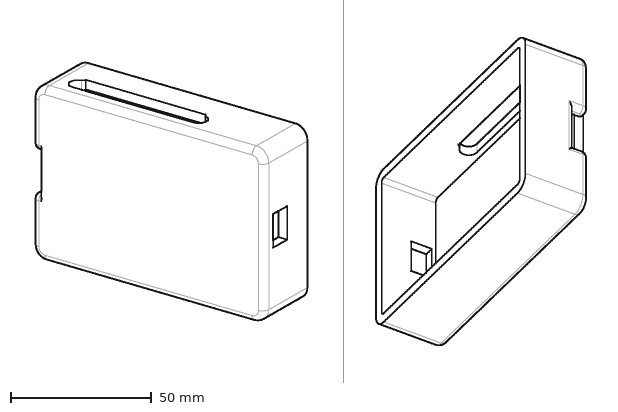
import cadquery as cq
import math

length = 101.2
depth = 26.5
height = 67.8
wall = 3.8
corner_radius = 5.4
front_edge_radius = 2.6
left = -length / 2

notch_clear_height = 17.1
notch_round = 2.2
notch_back = 6.2

side_opening_front = 5.5
side_opening_back = 14.1
side_opening_height = 13.1
side_opening_z = 1.0

slot_center_x = -11.1
slot_half_length = 29.8
slot_back_half_length = 26.2
slot_front = 6.2
slot_back = 14.1
slot_end_radius = 3.3

pin_diameter = 2.3
pin_tip_y = 10.4
pin_tip_taper_length = 0.6
pin_tip_taper_width = 0.3
pin_x = left + 13.0
pin_z = 24.5


def box_between(x_range, y_range, z_range):
    """Axis-aligned box given by its limits on each axis."""
    (x0, x1), (y0, y1), (z0, z1) = x_range, y_range, z_range
    return cq.Workplane("XY").box(x1 - x0, y1 - y0, z1 - z0, centered=False).translate((x0, y0, z0))


def rounded_case():
    """Solid block with rounded corners and a rounded front edge."""
    block = cq.Workplane("XY").box(length, depth, height).translate((0, depth / 2, 0))
    return block.edges("|Y").fillet(corner_radius).faces("<Y").edges().fillet(front_edge_radius)


def cavity():
    """Interior space, running out through the open back."""
    inside = box_between(
        (left + wall, -left - wall),
        (wall, depth),
        (wall - height / 2, height / 2 - wall),
    )
    return inside.edges("|Y").fillet(corner_radius - wall)


def notch():
    """Notch through the left wall, ending flush with the inside of that wall."""
    half_height = notch_clear_height / 2
    return box_between((left, left + wall), (0, notch_back), (-half_height, half_height))


def round_notch_rim(body):
    """Round the outer rim of the notch, where it meets the left and front faces."""
    margin = 0.1
    half_height = notch_clear_height / 2
    left_face_edges = cq.selectors.BoxSelector(
        (left - margin, -margin, -half_height - margin),
        (left + margin, notch_back + margin, half_height + margin),
        boundingbox=True,
    )
    rim = left_face_edges
    for z in (-half_height, half_height):
        front_edges = cq.selectors.BoxSelector(
            (left - margin, -margin, z - margin),
            (left + wall + margin, front_edge_radius + margin, z + margin),
            boundingbox=True,
        )
        rim = rim + front_edges
    return body.edges(rim).fillet(notch_round)


def top_slot():
    """Cutter for the slot in the top wall."""
    end_x = slot_half_length - slot_end_radius
    end_y = slot_front + slot_end_radius
    dx = slot_back_half_length - end_x
    dy = slot_back - end_y
    cove_radius = (dx**2 + dy**2 - slot_end_radius**2) / (2 * (slot_end_radius - dx))
    cove_x = slot_back_half_length + cove_radius
    touch_angle = math.atan2(dy, cove_x - end_x)
    touch_x = end_x + slot_end_radius * math.cos(touch_angle)
    touch_y = end_y + slot_end_radius * math.sin(touch_angle)
    cove_mid_x = cove_x - cove_radius * math.cos(touch_angle / 2)
    cove_mid_y = slot_back - cove_radius * math.sin(touch_angle / 2)
    profile = (
        cq.Workplane("XY")
        .moveTo(-end_x, slot_front)
        .lineTo(end_x, slot_front)
        .threePointArc((slot_half_length, end_y), (touch_x, touch_y))
        .threePointArc((cove_mid_x, cove_mid_y), (slot_back_half_length, slot_back))
        .lineTo(-slot_back_half_length, slot_back)
        .threePointArc((-cove_mid_x, cove_mid_y), (-touch_x, touch_y))
        .threePointArc((-slot_half_length, end_y), (-end_x, slot_front))
        .close()
    )
    return profile.extrude(wall).translate((slot_center_x, 0, height / 2 - wall))


def side_opening():
    """Cutter for the rectangular opening in the right wall."""
    half_height = side_opening_height / 2
    return box_between(
        (-left - wall, -left),
        (side_opening_front, side_opening_back),
        (side_opening_z - half_height, side_opening_z + half_height),
    )


def pin():
    """Pin with a tapered tip, rooted in the front panel."""
    root_y = wall / 2
    plane = cq.Workplane("XZ", origin=(pin_x, root_y, pin_z))
    shaft = plane.circle(pin_diameter / 2).extrude(root_y - pin_tip_y + pin_tip_taper_length)
    return (
        shaft.faces(">Y")
        .workplane()
        .circle(pin_diameter / 2)
        .workplane(offset=pin_tip_taper_length)
        .circle(pin_diameter / 2 - pin_tip_taper_width)
        .loft(combine=True)
    )


case = rounded_case().cut(notch())
case = round_notch_rim(case)
result = case.cut(cavity()).cut(top_slot()).cut(side_opening()).union(pin())